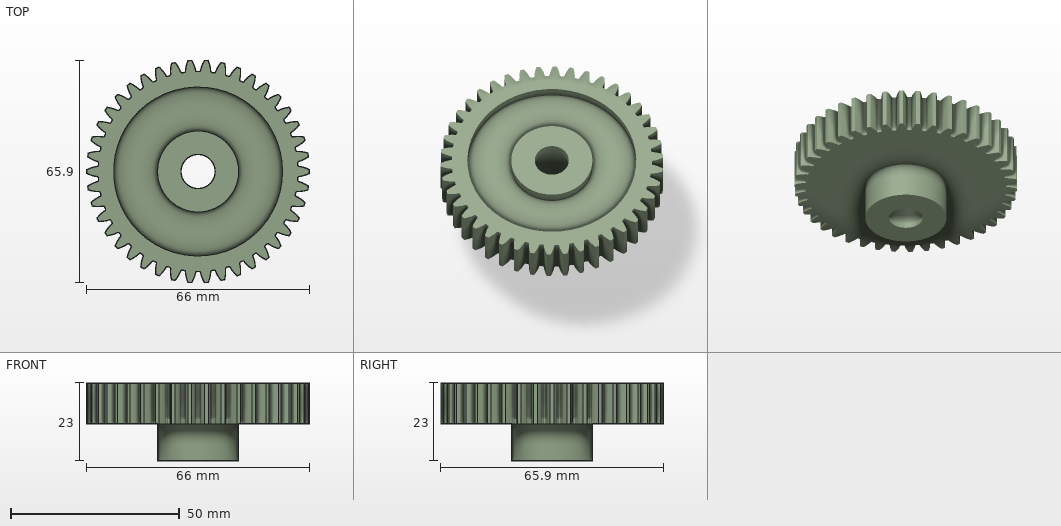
import cadquery as cq
import math

tooth_count = 42
outer_diameter = 66.0
pressure_angle = math.radians(20.0)
dedendum_in_modules = 1.25
root_fillet = 0.4
gear_width = 12.0

recess_diameter = 50.0
recess_depth = 3.5
hub_diameter = 24.0
hub_projection = 10.95
bore_diameter = 10.0

outer_radius = outer_diameter / 2
module = outer_diameter / (tooth_count + 2)
pitch_radius = module * tooth_count / 2
base_radius = pitch_radius * math.cos(pressure_angle)
root_radius = pitch_radius - dedendum_in_modules * module
tooth_pitch = 360.0 / tooth_count

cutter_radius = outer_radius + module / 4
flank_steps = 8


def involute_angle(radius):
    """Polar angle swept by the involute from the base circle out to a radius."""
    roll = math.acos(base_radius / radius)
    return math.tan(roll) - roll


def flank_point(radius, side):
    """Point on one flank of the tooth space centred on +X; side is 1 or -1."""
    half_space_at_pitch = math.radians(tooth_pitch / 4)
    angle = half_space_at_pitch + involute_angle(radius) - involute_angle(pitch_radius)
    return (radius * math.cos(angle), side * radius * math.sin(angle))


def make_tooth_space():
    """Cutter for one tooth space, with rounded root corners."""
    step = (cutter_radius - root_radius) / flank_steps
    radii = [root_radius + i * step for i in range(flank_steps + 1)]
    lower_flank = [flank_point(radius, -1) for radius in radii]
    upper_flank = [flank_point(radius, 1) for radius in reversed(radii)]
    return (
        cq.Workplane("XY")
        .moveTo(*lower_flank[0])
        .spline(lower_flank[1:], includeCurrent=True)
        .lineTo(*upper_flank[0])
        .spline(upper_flank[1:], includeCurrent=True)
        .threePointArc((root_radius, 0), lower_flank[0])
        .close()
        .extrude(gear_width)
        .edges("|Z and <X")
        .fillet(root_fillet)
    )


def make_toothed_wheel():
    """Wheel blank with every tooth space removed; one tooth points along +X."""
    tooth_space = make_tooth_space().val()
    wheel = cq.Workplane("XY").circle(outer_radius).extrude(gear_width)
    spaces = [
        tooth_space.rotate((0, 0, 0), (0, 0, 1), (i + 0.5) * tooth_pitch)
        for i in range(tooth_count)
    ]
    return wheel.cut(cq.Workplane(cq.Compound.makeCompound(spaces)))


recess = (
    cq.Workplane("XY")
    .workplane(offset=gear_width - recess_depth)
    .circle(recess_diameter / 2)
    .circle(hub_diameter / 2)
    .extrude(recess_depth)
)

hub = cq.Workplane("XY").circle(hub_diameter / 2).extrude(-hub_projection)

bore = (
    cq.Workplane("XY")
    .workplane(offset=-hub_projection)
    .circle(bore_diameter / 2)
    .extrude(hub_projection + gear_width)
)

result = make_toothed_wheel().cut(recess).union(hub).cut(bore)